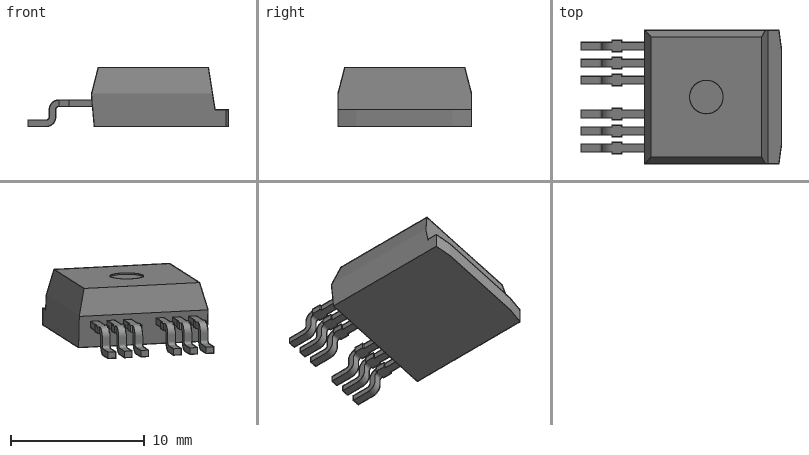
import cadquery as cq

body_width = 10.0
body_height = 4.42
flank_parting_height = 2.45
lead_parting_height = 2.42
top_inset = 0.51
body_front = 4.74
base_front = 4.95
top_front = body_front + top_inset
top_back = 13.5
body_back = 14.0

mark_diameter = 2.5
mark_depth = 0.1

tab_end = 15.0
tab_height = 1.28
tab_taper_length = 0.2
tab_taper_width = 1.42

lead_thickness = 0.5
lead_width = 0.6
lead_top = 2.0
bend_inner_radius = 0.22
bend_outer_radius = bend_inner_radius + lead_thickness
leg_start = 1.59
lead_embed = 0.6
collar_width = 0.87
collar_length = 0.75
collar_start = leg_start + bend_outer_radius
outer_lead_offset = 3.81
lead_pitch = outer_lead_offset / 3
lead_positions = (-3, -2, -1, 1, 2, 3)


def extruded_profile(profile, width, y_middle=0):
    """Extrude an XZ profile along Y, centred on y_middle."""
    return profile.extrude(width / 2, both=True).translate((0, y_middle, 0))


def make_body():
    side_profile = (
        cq.Workplane("XZ")
        .moveTo(base_front, 0)
        .lineTo(body_front, lead_parting_height)
        .lineTo(top_front, body_height)
        .lineTo(top_back, body_height)
        .lineTo(body_back, tab_height)
        .lineTo(body_back, 0)
        .close()
    )
    half_width = body_width / 2
    half_top = half_width - top_inset
    end_profile = (
        cq.Workplane("YZ")
        .moveTo(-half_width, 0)
        .lineTo(-half_width, flank_parting_height)
        .lineTo(-half_top, body_height)
        .lineTo(half_top, body_height)
        .lineTo(half_width, flank_parting_height)
        .lineTo(half_width, 0)
        .close()
        .extrude(tab_end)
    )
    return extruded_profile(side_profile, body_width).intersect(end_profile)


def make_mark():
    return (
        cq.Workplane("XY", origin=((top_front + top_back) / 2, 0, body_height - mark_depth))
        .circle(mark_diameter / 2)
        .extrude(mark_depth)
    )


def make_tab():
    half_width = body_width / 2
    taper_start = tab_end - tab_taper_length
    half_end = half_width - tab_taper_width
    return (
        cq.Workplane("XY")
        .moveTo(body_back, -half_width)
        .lineTo(taper_start, -half_width)
        .lineTo(tab_end, -half_end)
        .lineTo(tab_end, half_end)
        .lineTo(taper_start, half_width)
        .lineTo(body_back, half_width)
        .close()
        .extrude(tab_height)
    )


def make_lead(y_middle):
    leg_end = leg_start + lead_thickness
    lead_end = base_front + lead_embed
    lead_bottom = lead_top - lead_thickness
    strip_profile = (
        cq.Workplane("XZ")
        .lineTo(leg_end - bend_outer_radius, 0)
        .radiusArc((leg_end, bend_outer_radius), -bend_outer_radius)
        .lineTo(leg_end, lead_bottom - bend_inner_radius)
        .radiusArc((leg_end + bend_inner_radius, lead_bottom), bend_inner_radius)
        .lineTo(lead_end, lead_bottom)
        .lineTo(lead_end, lead_top)
        .lineTo(leg_start + bend_outer_radius, lead_top)
        .radiusArc((leg_start, lead_top - bend_outer_radius), -bend_outer_radius)
        .lineTo(leg_start, lead_thickness + bend_inner_radius)
        .radiusArc((leg_start - bend_inner_radius, lead_thickness), bend_inner_radius)
        .lineTo(0, lead_thickness)
        .close()
    )
    collar = (
        cq.Workplane("XY")
        .box(collar_length, collar_width, lead_thickness, centered=(False, True, False))
        .translate((collar_start, y_middle, lead_bottom))
    )
    return extruded_profile(strip_profile, lead_width, y_middle).union(collar)


result = make_body().cut(make_mark()).union(make_tab())
for position in lead_positions:
    result = result.union(make_lead(position * lead_pitch))